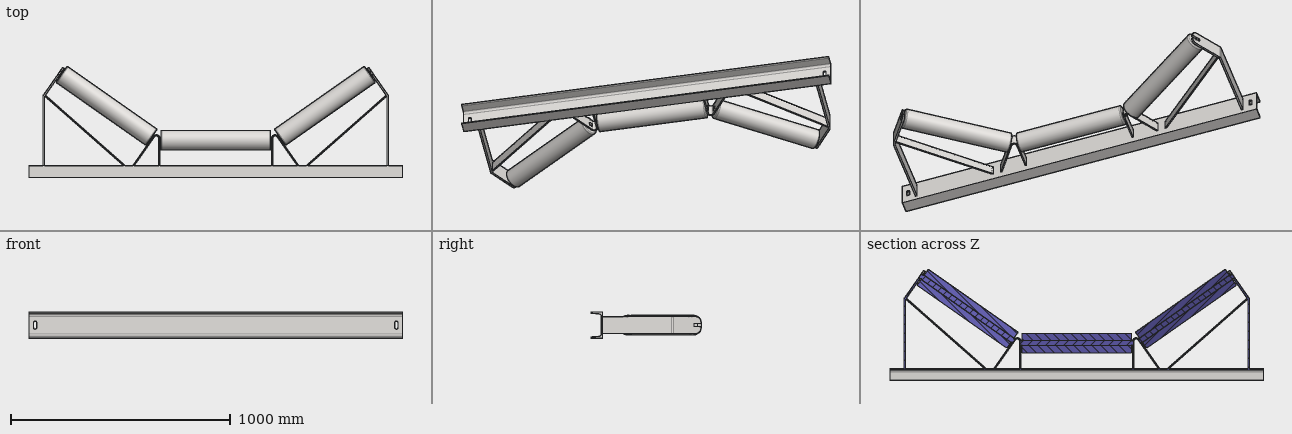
import cadquery as cq
import math

beam_length = 1700.0
beam_height = 120.0
flange_width = 55.0
web_thickness = 7.0
flange_thickness = 9.0
flange_slope = 0.08
root_radius = 10.0
tip_radius = 4.5
mount_slot_width = 14.0
mount_slot_height = 35.0
mount_slot_inset = 29.0

roller_length = 500.0
roller_diameter = 90.0
roller_edge = 5.0
tilt = 35.0
middle_roller_y = 115.0
side_roller_x = 496.0
side_roller_y = 272.0
shaft_diameter = 20.0
shaft_flats = 14.5

inner_gap = 3.0
outer_gap = 5.0
outer_width = 76.0
outer_tip = 29.0
outer_tip_radius = 22.0
outer_thickness = 8.0
outer_bend_radius = 17.0
inner_width = 55.0
inner_thickness = 6.0
inner_bend_radius = 17.0
post_x = 782.0
brace_thickness = 6.0
brace_width = 50.0
brace_foot_x = 411.0
brace_top_y = 320.0

tilt_cos = math.cos(math.radians(tilt))
tilt_sin = math.sin(math.radians(tilt))
inner_face = roller_length / 2 + inner_gap
outer_face = roller_length / 2 + outer_gap
inner_end = inner_face + inner_thickness
outer_end = outer_face + outer_thickness
foot_y = -web_thickness / 2


def place_right(body):
    """Move a body built around the X axis onto the right side roller axis."""
    turned = body.rotate((0, 0, 0), (0, 0, 1), tilt)
    return turned.translate((side_roller_x, side_roller_y, 0))


def both_sides(right_body):
    """A right-hand body and its left-hand mirror image."""
    return [right_body, right_body.mirror("YZ")]


def place_middle(body):
    return body.translate((0, middle_roller_y, 0))


def side_point(along):
    """Point on the right side roller axis, at a distance outward from the roller middle."""
    return (side_roller_x + along * tilt_cos, side_roller_y + along * tilt_sin)


def square_line_y(point, x):
    """Y of the line through a point, square to the right side roller axis, at the given X."""
    return point[1] + (point[0] - x) * tilt_cos / tilt_sin


def straight_strip(start, end, thickness, width):
    length = math.dist(start, end)
    angle = math.degrees(math.atan2(end[1] - start[1], end[0] - start[0]))
    strip = cq.Workplane("XY").box(length, thickness, width, centered=(False, True, True))
    return strip.rotate((0, 0, 0), (0, 0, 1), angle).translate((start[0], start[1], 0))


def bent_strip(start, bend, end, thickness, width, outer_radius):
    """Flat strip along start-bend-end with a rounded bend, centred on Z = 0."""
    first = math.atan2(bend[1] - start[1], bend[0] - start[0])
    second = math.atan2(end[1] - bend[1], end[0] - bend[0])
    turn = math.remainder(second - first, 2 * math.pi)
    half = thickness / 2

    def beside(point, direction, distance):
        return (point[0] - distance * math.sin(direction), point[1] + distance * math.cos(direction))

    miter = half / math.cos(turn / 2)
    middle = first + turn / 2
    left_bend = beside(bend, middle, miter)
    right_bend = beside(bend, middle, -miter)
    outline = [
        beside(start, first, half),
        left_bend,
        beside(end, second, half),
        beside(end, second, -half),
        right_bend,
        beside(start, first, -half),
    ]
    strip = cq.Workplane("XY").polyline(outline).close().extrude(width)
    strip = strip.translate((0, 0, -width / 2))
    inner_corner, outer_corner = (left_bend, right_bend) if turn > 0 else (right_bend, left_bend)
    strip = strip.edges(cq.NearestToPointSelector((*outer_corner, 0))).fillet(outer_radius)
    inner_radius = outer_radius - thickness
    return strip.edges(cq.NearestToPointSelector((*inner_corner, 0))).fillet(inner_radius)


def make_beam():
    half_height = beam_height / 2
    taper = flange_slope * flange_width / 2
    tip_z = half_height - flange_thickness + taper
    root_z = half_height - flange_thickness - taper + flange_slope * web_thickness
    outline = [
        (0, -half_height),
        (0, half_height),
        (-flange_width, half_height),
        (-flange_width, tip_z),
        (-web_thickness, root_z),
        (-web_thickness, -root_z),
        (-flange_width, -tip_z),
        (-flange_width, -half_height),
    ]
    beam = cq.Workplane("YZ").polyline(outline).close().extrude(beam_length)
    beam = beam.translate((-beam_length / 2, 0, 0))
    for z in (-1, 1):
        root = cq.NearestToPointSelector((0, -web_thickness, z * root_z))
        beam = beam.edges(root).fillet(root_radius)
        tip = cq.NearestToPointSelector((0, -flange_width, z * tip_z))
        beam = beam.edges(tip).fillet(tip_radius)
    slot_x = beam_length / 2 - mount_slot_inset
    slots = (
        cq.Workplane("XZ")
        .pushPoints([(-slot_x, 0), (slot_x, 0)])
        .slot2D(mount_slot_height, mount_slot_width, 90)
        .extrude(web_thickness)
    )
    return beam.cut(slots)


def bar_along_x(diameter, start, end):
    """Round bar on the X axis."""
    return cq.Workplane("YZ", origin=(start, 0, 0)).circle(diameter / 2).extrude(end - start)


def make_shaft(left_end, right_end):
    """Shaft that is round inside the roller and has two flats at each end."""
    shaft = bar_along_x(shaft_diameter, -left_end, right_end)
    shoulder = roller_length / 2
    flatted = cq.Workplane("XY").box(left_end + right_end, shaft_diameter, shaft_flats)
    flatted = flatted.translate(((right_end - left_end) / 2, 0, 0))
    return shaft.intersect(flatted).union(bar_along_x(shaft_diameter, -shoulder, shoulder))


def make_roller():
    shoulder = roller_length / 2
    roller = bar_along_x(roller_diameter, -shoulder, shoulder)
    roller = roller.faces("<X or >X").edges().fillet(roller_edge)
    return roller.cut(bar_along_x(shaft_diameter, -shoulder, shoulder))


def make_outer_bracket():
    """Right-hand post with its bent arm, rounded arm tip and open shaft slot."""
    arm_centre = side_point(outer_face + outer_thickness / 2)
    bend = (post_x, square_line_y(arm_centre, post_x))
    tip = (arm_centre[0] - outer_tip * tilt_sin, arm_centre[1] + outer_tip * tilt_cos)
    strip = bent_strip(
        (post_x, foot_y), bend, tip, outer_thickness, outer_width, outer_bend_radius
    )
    for z in (-outer_width / 2, outer_width / 2):
        corner = cq.NearestToPointSelector((*tip, z))
        strip = strip.edges(corner).fillet(outer_tip_radius)
    slot = cq.Workplane("XY").box(
        outer_thickness, outer_width, shaft_flats, centered=(False, False, True)
    )
    return strip.cut(place_right(slot.translate((outer_face, 0, 0))))


def make_brace():
    """Right-hand diagonal strip from the beam to the bend of the post."""
    top = (post_x - outer_thickness / 2, brace_top_y)
    return straight_strip((brace_foot_x, foot_y), top, brace_thickness, brace_width)


def make_inner_bracket():
    """Right-hand inverted V between the middle roller and the side roller."""
    leg_centre = side_point(-inner_face - inner_thickness / 2)
    upright_x = inner_face + inner_thickness / 2
    apex = (upright_x, square_line_y(leg_centre, upright_x))
    foot_x = leg_centre[0] + (leg_centre[1] - foot_y) * tilt_sin / tilt_cos
    return bent_strip(
        (upright_x, foot_y), apex, (foot_x, foot_y), inner_thickness, inner_width, inner_bend_radius
    )


def make_frame(shafts):
    """Beam with all strips welded on, pierced where the shafts pass through."""
    half = make_outer_bracket().union(make_brace()).union(make_inner_bracket())
    frame = make_beam()
    for strips in both_sides(half):
        frame = frame.union(strips)
    for shaft in shafts:
        frame = frame.cut(shaft)
    return frame


middle_shaft = place_middle(make_shaft(inner_end, inner_end))
side_shafts = both_sides(place_right(make_shaft(inner_end, outer_end)))
shafts = [middle_shaft, *side_shafts]
rollers = [place_middle(make_roller()), *both_sides(place_right(make_roller()))]
frame = make_frame(shafts)

result = cq.Compound.makeCompound(
    [frame.val(), *[roller.val() for roller in rollers], *[shaft.val() for shaft in shafts]]
)